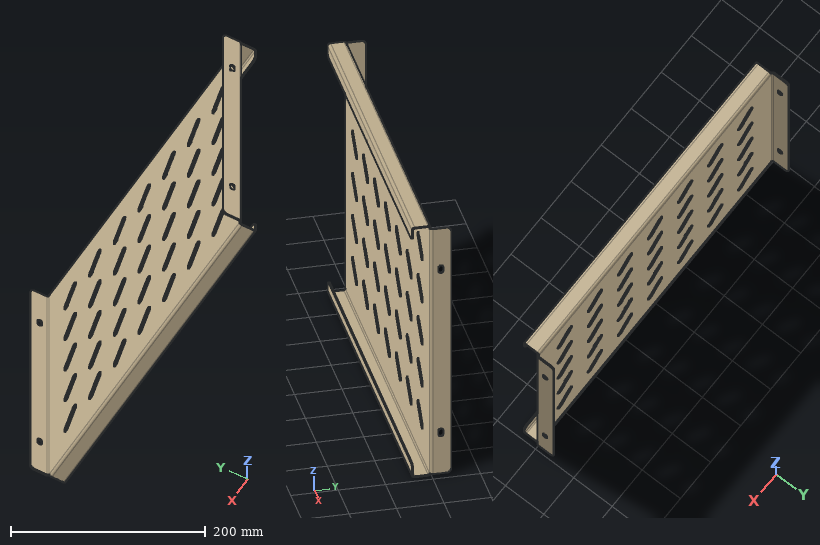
import cadquery as cq

overall_width = 392.0
overall_depth = 41.0
overall_height = 297.0

sheet = 1.5
bend_inner = 1.5
bend_outer = bend_inner + sheet

channel_depth = 20.0
lip_height = 15.0
corner_radius = 5.0

channel_length = overall_width - 2 * bend_outer
side_flange_height = overall_height - 2 * bend_outer

plate_front_y = -sheet
lip_front_y = -channel_depth
flange_edge_y = overall_depth - channel_depth

slot_columns = 7
slot_rows = 5
slot_pitch = 50.0
slot_width = 8.5
slot_length = 30.5
slot_angle = -45.0

mount_slot_width = 5.5
mount_slot_length = 9
mount_slot_spacing = 194.0
mount_slot_edge_distance = 11.0


def box_between(low, high):
    """Box spanning two opposite corners."""
    size = [b - a for a, b in zip(low, high)]
    return cq.Workplane("XY").box(*size, centered=False).translate(tuple(low))


def both_sides(half, mirror_plane):
    """Shape joined with its mirror image about a plane through the origin."""
    return half.union(half.mirror(mirror_plane))


def make_top_channel():
    """Bend, wall, bend and downturned lip along the top edge of the plate."""
    top = overall_height / 2
    block_low = (-channel_length / 2, lip_front_y, top - lip_height)
    block = box_between(block_low, (channel_length / 2, 0, top))
    block = block.edges("|X and >Z").fillet(bend_outer)
    hollow_low = (-channel_length / 2, lip_front_y + sheet, top - lip_height)
    hollow = box_between(hollow_low, (channel_length / 2, plate_front_y, top - sheet))
    hollow = hollow.edges("|X and >Z").fillet(bend_inner)
    channel = block.cut(hollow)
    return channel.edges("|Y and <Z").edges("<Y").fillet(corner_radius)


def make_right_half():
    """Half of the plate with the bend and rearward flange along its +X edge."""
    side = overall_width / 2
    half_height = side_flange_height / 2
    block = box_between((0, plate_front_y, -half_height), (side, flange_edge_y, half_height))
    block = block.edges("|Z and >X and <Y").fillet(bend_outer)
    hollow = box_between((0, 0, -half_height), (side - sheet, flange_edge_y, half_height))
    hollow = hollow.edges("|Z and >X and <Y").fillet(bend_inner)
    half = block.cut(hollow)
    return half.edges("|X and >Y").fillet(corner_radius)


def cut_vent_slots(body):
    """Grid of diagonal slots through the plate."""
    slots = (
        cq.Workplane("XZ")
        .rarray(slot_pitch, slot_pitch, slot_columns, slot_rows)
        .slot2D(slot_length, slot_width, slot_angle)
        .extrude(sheet)
    )
    return body.cut(slots)


def cut_mount_slots(body):
    """Two upright slots through each side flange."""
    slot_y = flange_edge_y - mount_slot_edge_distance
    slots = (
        cq.Workplane("YZ", origin=(0, slot_y, 0))
        .pushPoints([(0, -mount_slot_spacing / 2), (0, mount_slot_spacing / 2)])
        .slot2D(mount_slot_length, mount_slot_width, 90)
        .extrude(overall_width / 2, both=True)
    )
    return body.cut(slots)


shelf = both_sides(make_right_half(), "YZ")
shelf = shelf.union(both_sides(make_top_channel(), "XY"))
shelf = cut_vent_slots(shelf)
result = cut_mount_slots(shelf)